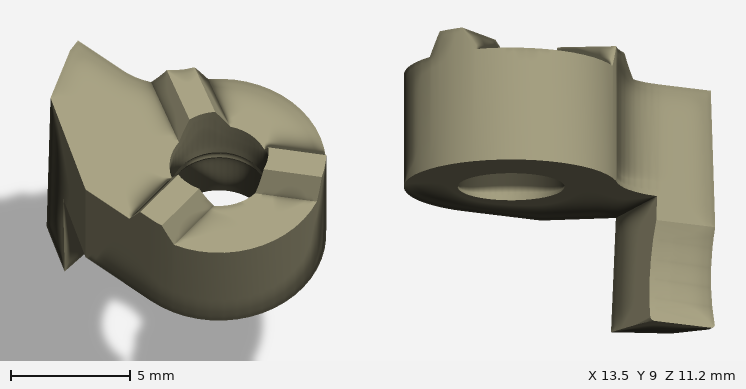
import cadquery as cq
import math

PLATE_TOP = 4.85
TOOTH_HEIGHT = 1.0
TIP_JOINT_Z = -1.04
TIP_BOTTOM = -5.35

RING_RADIUS = 4.5
BORE_RADIUS = 2.075
GROOVE_RADIUS = 2.22
LIP_RADIUS = 2.16
COUNTERBORE_RADIUS = 2.24
GROOVE_TOP = 2.95
GROOVE_WIDEST_Z = 2.68
LIP_Z = 2.48
COUNTERBORE_TOP = 2.3

TOOTH_COUNT = 3
FIRST_TOOTH_ANGLE = 30
TOOTH_BASE_WIDTH = 2.3
TOOTH_FLANK_ANGLE = 30

ARM_SIDE_Y = 1.24
BLEND_RADIUS = 3.2
BLEND_END_Y = 2.78
BACK_CORNER_X = -3.54
BACK_ANGLE = 33.3

CUTTING_EDGE_X = -9.01
CUTTING_EDGE_Y = 1.0
CUTTING_WIDTH = 3.01
FLANK_BREAK_Y = 0.63
UPPER_FLANK_ANGLE = 7
LOWER_FLANK_ANGLE = 21
SIDE_DRAFT = 2
END_CLEARANCE = 6
CORNER_RADIUS = 0.2
RAKE_DEEPEST_Y = 0.77
RAKE_DEEPEST_Z = -3.6

FAR = 10.0


def slope(angle):
    return math.tan(math.radians(angle))


def plan_prism(z_bottom, z_top):
    """Ring and arm seen along Z, with the arm running past the cutting edge."""
    blend_point = (-math.sqrt(RING_RADIUS**2 - BLEND_END_Y**2), BLEND_END_Y)
    blend_rise = BLEND_END_Y - ARM_SIDE_Y
    blend_run = math.sqrt(BLEND_RADIUS**2 - (BLEND_RADIUS - blend_rise) ** 2)
    back_end_y = -RING_RADIUS + (BACK_CORNER_X + FAR) * slope(BACK_ANGLE)
    return (
        cq.Workplane("XY", origin=(0, 0, z_bottom))
        .moveTo(-FAR, ARM_SIDE_Y)
        .lineTo(blend_point[0] - blend_run, ARM_SIDE_Y)
        .radiusArc(blend_point, -BLEND_RADIUS)
        .threePointArc((RING_RADIUS, 0), (0, -RING_RADIUS))
        .lineTo(BACK_CORNER_X, -RING_RADIUS)
        .lineTo(-FAR, back_end_y)
        .close()
        .extrude(z_top - z_bottom)
    )


def flank_outline(z, right_x):
    """Corners at height z of the region between the two-facet left flank and right_x."""
    edge_x = CUTTING_EDGE_X + (z - TIP_BOTTOM) * slope(SIDE_DRAFT)
    upper_x = edge_x - (RING_RADIUS - CUTTING_EDGE_Y) * slope(UPPER_FLANK_ANGLE)
    break_x = edge_x + (CUTTING_EDGE_Y - FLANK_BREAK_Y) * slope(UPPER_FLANK_ANGLE)
    lower_x = break_x + (FLANK_BREAK_Y + RING_RADIUS) * slope(LOWER_FLANK_ANGLE)
    return [
        (upper_x, RING_RADIUS),
        (break_x, FLANK_BREAK_Y),
        (lower_x, -RING_RADIUS),
        (right_x, -RING_RADIUS),
        (right_x, RING_RADIUS),
    ]


def drafted_block(z_bottom, z_top, right_x_bottom, right_x_top):
    """Ring and arm plan between two heights, trimmed to the drafted flank and a right-hand limit."""
    envelope = (
        cq.Workplane("XY", origin=(0, 0, z_bottom))
        .polyline(flank_outline(z_bottom, right_x_bottom))
        .close()
        .workplane(offset=z_top - z_bottom)
        .polyline(flank_outline(z_top, right_x_top))
        .close()
        .loft(ruled=True)
    )
    return envelope.intersect(plan_prism(z_bottom, z_top))


def leg_right_x(z):
    return CUTTING_EDGE_X + CUTTING_WIDTH - (z - TIP_BOTTOM) * slope(SIDE_DRAFT)


def leg(z_bottom, z_top):
    """Length of the leg below the arm; its right side tapers towards the arm."""
    return drafted_block(z_bottom, z_top, leg_right_x(z_bottom), leg_right_x(z_top))


def tooth(angle):
    """Trapezoidal ridge from the axis outwards, standing on the plate."""
    half_base = TOOTH_BASE_WIDTH / 2
    half_crest = half_base - TOOTH_HEIGHT * slope(TOOTH_FLANK_ANGLE)
    crest_z = PLATE_TOP + TOOTH_HEIGHT
    return (
        cq.Workplane("YZ")
        .polyline([
            (-half_base, PLATE_TOP),
            (half_base, PLATE_TOP),
            (half_crest, crest_z),
            (-half_crest, crest_z),
        ])
        .close()
        .extrude(FAR)
        .rotate((0, 0, 0), (0, 0, 1), angle)
    )


def bore():
    """Through bore with a V groove, a narrow lip and a shallow counterbore below it."""
    return (
        cq.Workplane("XZ")
        .polyline([
            (0, 0),
            (COUNTERBORE_RADIUS, 0),
            (COUNTERBORE_RADIUS, COUNTERBORE_TOP),
            (LIP_RADIUS, LIP_Z),
            (GROOVE_RADIUS, GROOVE_WIDEST_Z),
            (BORE_RADIUS, GROOVE_TOP),
            (BORE_RADIUS, PLATE_TOP + TOOTH_HEIGHT),
            (0, PLATE_TOP + TOOTH_HEIGHT),
        ])
        .close()
        .revolve(360, (0, 0, 0), (0, 1, 0))
    )


def make_holder():
    plate = drafted_block(0, PLATE_TOP, RING_RADIUS, RING_RADIUS)
    holder = plate.union(leg(TIP_JOINT_Z, 0))
    tooth_limits = plan_prism(PLATE_TOP, PLATE_TOP + TOOTH_HEIGHT)
    for index in range(TOOTH_COUNT):
        angle = FIRST_TOOTH_ANGLE + index * 360 / TOOTH_COUNT
        holder = holder.union(tooth(angle).intersect(tooth_limits))
    return holder.cut(bore())


def tip_profile():
    """Side shape of the tip along X: hollow rake face and sloping end face."""
    end_back_z = TIP_BOTTOM + (CUTTING_EDGE_Y + RING_RADIUS) * slope(END_CLEARANCE)
    return (
        cq.Workplane("YZ", origin=(-FAR, 0, 0))
        .moveTo(ARM_SIDE_Y, TIP_JOINT_Z)
        .threePointArc((RAKE_DEEPEST_Y, RAKE_DEEPEST_Z), (CUTTING_EDGE_Y, TIP_BOTTOM))
        .lineTo(-RING_RADIUS, end_back_z)
        .lineTo(-RING_RADIUS, TIP_JOINT_Z)
        .close()
        .extrude(FAR)
    )


def corner_waste(corner_x, inward):
    """Material outside a rounded cutting corner, running straight back along -Y.

    The side and end clearances drop away from this rounding, so it fades out behind the rake face.
    """
    centre = (corner_x + inward * CORNER_RADIUS, TIP_BOTTOM + CORNER_RADIUS)
    corner_block = (
        cq.Workplane("XZ", origin=(0, ARM_SIDE_Y, 0))
        .center(corner_x, TIP_BOTTOM)
        .rect(2 * CORNER_RADIUS, 2 * CORNER_RADIUS)
        .extrude(FAR)
    )
    rounding = (
        cq.Workplane("XZ", origin=(0, ARM_SIDE_Y, 0))
        .center(*centre)
        .circle(CORNER_RADIUS)
        .extrude(FAR)
    )
    return corner_block.cut(rounding)


def make_cutting_tip():
    tip = leg(TIP_BOTTOM, TIP_JOINT_Z).intersect(tip_profile())
    left_corner = corner_waste(CUTTING_EDGE_X, 1)
    right_corner = corner_waste(CUTTING_EDGE_X + CUTTING_WIDTH, -1)
    return tip.cut(left_corner).cut(right_corner)


holder = make_holder()
cutting_tip = make_cutting_tip()
result = cq.Compound.makeCompound([holder.val(), cutting_tip.val()])